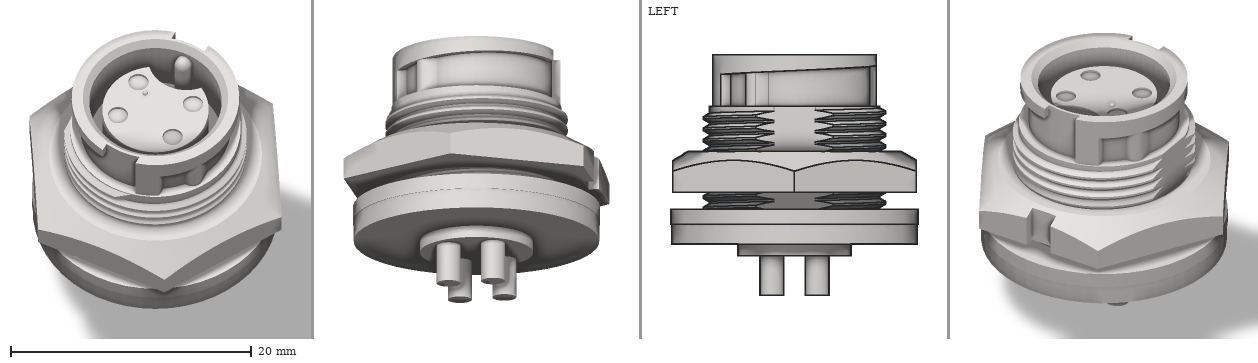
import cadquery as cq
import math


FLANGE_RADIUS = 10.31
FLANGE_RIM_THICKNESS = 1.28
FLANGE_BACK_RADIUS = 10.24
FLANGE_THICKNESS = 2.92
REAR_BOSS_RADIUS = 4.72
REAR_BOSS_HEIGHT = 0.98
PIN_RADIUS = 1.0
PIN_LENGTH = 3.28
PIN_X = 2.515
PIN_Y = 1.88

BARREL_RADIUS = 7.1
BARREL_TOP = 8.56
BARREL_FLAT_X = -6.89

THREAD_PITCH = 0.941
THREAD_RADIUS = 7.61
THREAD_CREST_WIDTH = 0.18
THREAD_HALF_ANGLE = math.radians(30)
THREAD_EMBED = 0.1
THREAD_START_Z = -1.12
THREAD_TURNS = 9.8
THREAD_END_X = 1.18
RUNOUT_REACH = 5.0
RUNOUT_BOTTOM = 7.58

NECK_RADIUS = 6.28
RIM_RADIUS = 6.98
RIM_TOP = 12.86
RIM_SLOT_WIDTH = 3.06
RAMP_LEAD = 1.84
RAMP_START_ANGLE = 100
RAMP_SWEEP_ANGLE = 165
RAMP_START_DROP = 1.73
RAMP_CUT_HEIGHT = 6.0
STOP_X = 3.35
DETENT_CENTER = (-5.08, 3.27)
DETENT_RADIUS = 0.81
DETENT_DROP = 1.2

BORE_RADIUS = 5.52
BORE_CHAMFER = 0.53
BORE_FLOOR = 7.5
INSERT_RADIUS = 4.43
INSERT_TOP = 11.19
SCALLOP_CENTER_Y = 5.8
SCALLOP_RADIUS = 3.19
CONTACT_RADIUS = 0.84
CONTACT_DEPTH = 0.25
CONTACT_X = 2.54
CONTACT_Y = 1.905
MARK_RADIUS = 0.23
MARK_POSITION = (-1.52, 1.13)
KEY_RADIUS = 0.68
KEY_CENTER_Y = 5.1
KEY_TOP = 11.87

NUT_ACROSS_CORNERS = 23.46
NUT_BOTTOM = 1.4
NUT_TOP = 4.81
NUT_TOP_FACE_RADIUS = 8.87
NUT_CHAMFER_ANGLE = math.radians(30)
NUT_BORE_RADIUS = 7.42
NUT_THREAD_CLEARANCE = 0.29
NUT_GROOVE_ROOT_WIDTH = 0.05
NUT_GROOVE_OVERLAP = .2
NUT_THREAD_TURNS = 7
NUT_NOTCH_WIDTH = 2.35
NUT_NOTCH_Y = 9.26


def cylinder(radius, bottom, top):
    return cq.Workplane("XY").workplane(offset=bottom).circle(radius).extrude(top - bottom)


def block(x_range, y_range, z_range):
    corner = (x_range[0], y_range[0], z_range[0])
    sizes = [high - low for low, high in (x_range, y_range, z_range)]
    return cq.Workplane("XY").box(*sizes, centered=False).translate(corner)


def thread_ridge(inner_radius, crest_radius, crest_width, start_z, turns):
    """Right-handed ridge starting on +X, with a trapezoid section flanked at the thread angle."""
    crest_half = crest_width / 2
    inner_half = crest_half + (crest_radius - inner_radius) * math.tan(THREAD_HALF_ANGLE)
    path = cq.Wire.makeHelix(THREAD_PITCH, THREAD_PITCH * turns, inner_radius)
    ridge = (
        cq.Workplane("XZ")
        .moveTo(inner_radius, -inner_half)
        .lineTo(crest_radius, -crest_half)
        .lineTo(crest_radius, crest_half)
        .lineTo(inner_radius, inner_half)
        .close()
        .sweep(cq.Workplane(path), isFrenet=True)
    )
    return ridge.translate((0, 0, start_z))


def make_threaded_barrel():
    ridge = thread_ridge(
        BARREL_RADIUS - THREAD_EMBED,
        THREAD_RADIUS,
        THREAD_CREST_WIDTH,
        THREAD_START_Z,
        THREAD_TURNS,
    )
    root_y = -math.sqrt(BARREL_RADIUS**2 - THREAD_END_X**2)
    slope = (root_y + THREAD_RADIUS) / THREAD_END_X
    runout = (
        cq.Workplane("XY")
        .workplane(offset=RUNOUT_BOTTOM)
        .moveTo(0, -THREAD_RADIUS)
        .lineTo(RUNOUT_REACH, -THREAD_RADIUS + slope * RUNOUT_REACH)
        .lineTo(RUNOUT_REACH, -2 * THREAD_RADIUS)
        .lineTo(0, -2 * THREAD_RADIUS)
        .close()
        .extrude(2 * THREAD_PITCH)
    )
    flat_side = block(
        (-2 * BARREL_RADIUS, BARREL_FLAT_X),
        (-2 * BARREL_RADIUS, 2 * BARREL_RADIUS),
        (-FLANGE_THICKNESS, RIM_TOP),
    )
    barrel = cylinder(BARREL_RADIUS, -FLANGE_RIM_THICKNESS, BARREL_TOP)
    return barrel.union(ridge.cut(runout)).cut(flat_side)


def make_ramp_cutter():
    """Space under one bayonet ramp: between the entry slot on -Y and the stop face on +Y."""
    path = cq.Wire.makeHelix(RAMP_LEAD, RAMP_LEAD * RAMP_SWEEP_ANGLE / 360, NECK_RADIUS)
    sweep = (
        cq.Workplane("XZ")
        .moveTo(NECK_RADIUS, 0)
        .lineTo(2 * RIM_RADIUS - NECK_RADIUS, 0)
        .lineTo(2 * RIM_RADIUS - NECK_RADIUS, -RAMP_CUT_HEIGHT)
        .lineTo(NECK_RADIUS, -RAMP_CUT_HEIGHT)
        .close()
        .sweep(cq.Workplane(path), isFrenet=True)
        .rotate((0, 0, 0), (0, 0, 1), RAMP_START_ANGLE)
        .translate((0, 0, RIM_TOP - RAMP_START_DROP))
    )
    behind_stop = block((-STOP_X, RIM_RADIUS), (0, 2 * RIM_RADIUS), (0, 2 * RIM_TOP))
    beyond_slot = block((0, 2 * RIM_RADIUS), (-2 * RIM_RADIUS, 0), (0, 2 * RIM_TOP))
    return sweep.cut(behind_stop).cut(beyond_slot)


def make_entry_slot():
    """Full-height slot on -Y that lets a coupling lug in, down to the neck surface."""
    opening = block(
        (-RIM_SLOT_WIDTH / 2, RIM_SLOT_WIDTH / 2),
        (-2 * RIM_RADIUS, 0),
        (BARREL_TOP, RIM_TOP),
    )
    return opening.cut(cylinder(NECK_RADIUS, BARREL_TOP, RIM_TOP))


def make_detent():
    """Round-cornered bump on the neck just ahead of the stop face, facing -X."""
    x, y = DETENT_CENTER
    corner = DETENT_RADIUS * math.sqrt(0.5)
    return (
        cq.Workplane("XY")
        .workplane(offset=BARREL_TOP)
        .moveTo(x, y + DETENT_RADIUS)
        .threePointArc((x - corner, y + corner), (x - DETENT_RADIUS, y))
        .lineTo(x - DETENT_RADIUS, y - 2 * DETENT_RADIUS)
        .lineTo(x + DETENT_RADIUS / 2, y + DETENT_RADIUS)
        .close()
        .extrude(RIM_TOP - DETENT_DROP - BARREL_TOP)
    )


def make_bayonet_neck():
    neck = cylinder(RIM_RADIUS, BARREL_TOP, RIM_TOP)
    for half_turn in (0, 180):
        for cutter in (make_ramp_cutter(), make_entry_slot()):
            neck = neck.cut(cutter.rotate((0, 0, 0), (0, 0, 1), half_turn))
    for half_turn in (0, 180):
        neck = neck.union(make_detent().rotate((0, 0, 0), (0, 0, 1), half_turn))
    return neck


def make_socket_bore():
    return cylinder(BORE_RADIUS, BORE_FLOOR, RIM_TOP + BORE_CHAMFER).union(
        cq.Workplane("XY")
        .workplane(offset=RIM_TOP - BORE_CHAMFER)
        .circle(BORE_RADIUS)
        .workplane(offset=BORE_CHAMFER)
        .circle(BORE_RADIUS + BORE_CHAMFER)
        .loft()
    )


def make_insert():
    """Contact insert on the socket floor, scalloped on +Y, with contact holes and a raised mark."""
    insert = cylinder(INSERT_RADIUS, BORE_FLOOR, INSERT_TOP)
    scallop = cylinder(SCALLOP_RADIUS, BORE_FLOOR, INSERT_TOP).translate((0, SCALLOP_CENTER_Y, 0))
    contact = cylinder(CONTACT_RADIUS, INSERT_TOP - CONTACT_DEPTH, INSERT_TOP)
    insert = insert.cut(scallop)
    for x in (-CONTACT_X, CONTACT_X):
        for y in (-CONTACT_Y, CONTACT_Y):
            insert = insert.cut(contact.translate((x, y, 0)))
    mark = cq.Workplane("XY").sphere(MARK_RADIUS).translate((*MARK_POSITION, INSERT_TOP))
    return insert.union(mark)


def make_key():
    """Round-nosed polarising rib on the +Y wall of the socket, domed on top."""
    dome_z = KEY_TOP - KEY_RADIUS
    wall_y = (BORE_RADIUS + NECK_RADIUS) / 2
    depth = wall_y - KEY_CENTER_Y
    post = cylinder(KEY_RADIUS, BORE_FLOOR, dome_z).translate((0, KEY_CENTER_Y, 0))
    web = block(
        (-KEY_RADIUS, KEY_RADIUS),
        (KEY_CENTER_Y, wall_y),
        (BORE_FLOOR, dome_z),
    )
    ridge = (
        cq.Workplane("XZ", origin=(0, KEY_CENTER_Y, dome_z))
        .circle(KEY_RADIUS)
        .extrude(-depth)
    )
    dome = cq.Workplane("XY").sphere(KEY_RADIUS).translate((0, KEY_CENTER_Y, dome_z))
    inside_neck = cylinder(NECK_RADIUS, BORE_FLOOR, RIM_TOP)
    return post.union(web).union(ridge).union(dome).intersect(inside_neck)


def make_rear():
    """Two-step flange with the rear boss and the four solder pins."""
    boss_bottom = -FLANGE_THICKNESS - REAR_BOSS_HEIGHT
    rear = (
        cylinder(FLANGE_RADIUS, -FLANGE_RIM_THICKNESS, 0)
        .union(cylinder(FLANGE_BACK_RADIUS, -FLANGE_THICKNESS, -FLANGE_RIM_THICKNESS))
        .union(cylinder(REAR_BOSS_RADIUS, boss_bottom, -FLANGE_THICKNESS))
    )
    pin = cylinder(PIN_RADIUS, boss_bottom - PIN_LENGTH, boss_bottom)
    for x in (-PIN_X, PIN_X):
        for y in (-PIN_Y, PIN_Y):
            rear = rear.union(pin.translate((x, y, 0)))
    return rear


def make_connector():
    connector = make_rear().union(make_threaded_barrel()).union(make_bayonet_neck())
    return connector.cut(make_socket_bore()).union(make_insert()).union(make_key())


def make_nut():
    """Hexagonal nut, chamfered on top, threaded to clear the barrel, with a notch in its +Y side."""
    hexagon = (
        cq.Workplane("XY")
        .workplane(offset=NUT_BOTTOM)
        .polygon(6, NUT_ACROSS_CORNERS)
        .extrude(NUT_TOP - NUT_BOTTOM)
    )
    cone_radius = NUT_ACROSS_CORNERS
    chamfer_drop = (cone_radius - NUT_TOP_FACE_RADIUS) * math.tan(NUT_CHAMFER_ANGLE)
    chamfer_cone = (
        cq.Workplane("XZ")
        .lineTo(0, NUT_TOP)
        .lineTo(NUT_TOP_FACE_RADIUS, NUT_TOP)
        .lineTo(cone_radius, NUT_TOP - chamfer_drop)
        .lineTo(cone_radius, -cone_radius)
        .lineTo(0, -cone_radius)
        .close()
        .revolve(360, (0, 0, 0), (0, 1, 0))
    )
    groove = thread_ridge(
        NUT_BORE_RADIUS - NUT_GROOVE_OVERLAP,
        THREAD_RADIUS + NUT_THREAD_CLEARANCE,
        NUT_GROOVE_ROOT_WIDTH,
        THREAD_START_Z + THREAD_PITCH,
        NUT_THREAD_TURNS,
    )
    notch = block(
        (-NUT_NOTCH_WIDTH / 2, NUT_NOTCH_WIDTH / 2),
        (NUT_NOTCH_Y, NUT_ACROSS_CORNERS),
        (NUT_BOTTOM, NUT_TOP),
    )
    bore = cylinder(NUT_BORE_RADIUS, NUT_BOTTOM, NUT_TOP)
    return hexagon.intersect(chamfer_cone).cut(groove).cut(bore).cut(notch)


connector = make_connector()
nut = make_nut()

result = cq.Compound.makeCompound([connector.solids().val(), nut.solids().val()])